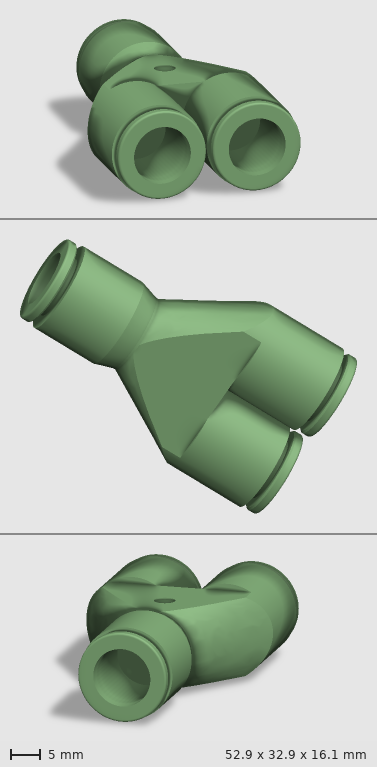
import cadquery as cq
import math


overall_length = 52.85
overall_width = 32.85
body_diameter = 16.1
body_radius = body_diameter / 2
branch_offset = overall_width / 2 - body_radius

flange_radius = 7.75
flange_thickness = 1.75
flange_rounding = 0.35
flange_back_chamfer = 0.3
collet_neck_radius = 5.6
collet_length = 2.95
bore_radius = 5.0
bore_depth = 14.85

inlet_body_end = 14.85
taper_end = 18.1
hub_start = 18.6
taper_end_radius = 7.0
neck_radius = 6.95

hub_end = 35.65
hub_start_radius = 6.9
hub_half_height = 6.85
miter_angle = 43.5
miter_length = body_radius * math.tan(math.radians(miter_angle))
branch_start = hub_end - miter_length

recess_x = 26.4
recess_radius = 1.85
recess_depth = 0.25


def cylinder_x(radius, x_start, x_end):
    """Cylinder along the X axis between two X positions."""
    return cq.Workplane("YZ", origin=(x_start, 0, 0)).circle(radius).extrude(x_end - x_start)


def collet():
    """Flange and neck of a collet whose port face lies at X = 0."""
    flange = cylinder_x(flange_radius, 0, flange_thickness)
    flange = flange.edges("<X").fillet(flange_rounding)
    flange = flange.edges(">X").chamfer(flange_back_chamfer)
    return flange.union(cylinder_x(collet_neck_radius, 0, collet_length))


def facing_plus_x(shape, y_offset):
    """Turn a shape built from the inlet face around to a branch port face."""
    return shape.mirror("YZ").translate((overall_length, y_offset, 0))


def inlet():
    """Inlet collet, cylindrical body, taper and the short neck behind it."""
    profile = [
        (collet_length, 0),
        (collet_length, body_radius),
        (inlet_body_end, body_radius),
        (taper_end, taper_end_radius),
        (hub_start, neck_radius),
        (hub_start, 0),
    ]
    body = cq.Workplane("XY").polyline(profile).close().revolve(360, (0, 0, 0), (1, 0, 0))
    return body.union(collet())


def branch():
    """Branch on the +Y side: mitered cylindrical body with its collet."""
    body = cylinder_x(body_radius, branch_start, overall_length - collet_length)
    body = body.translate((0, branch_offset, 0))
    miter_corner = [
        (branch_start, branch_offset),
        (hub_end, overall_width / 2),
        (branch_start, overall_width / 2),
    ]
    miter = cq.Workplane("XY").polyline(miter_corner).close().extrude(body_radius, both=True)
    return body.cut(miter).union(facing_plus_x(collet(), branch_offset))


def hub_side():
    """Loft on the +Y side from half a circle at the neck to the mitered branch section."""
    miter_half_axis = math.hypot(body_radius, miter_length)
    neck_plane = cq.Plane(origin=(hub_start, 0, 0), xDir=(0, 1, 0), normal=(1, 0, 0))
    miter_plane = cq.Plane(
        origin=(branch_start, branch_offset, 0),
        xDir=(miter_length, body_radius, 0),
        normal=(body_radius, -miter_length, 0),
    )

    def half_ellipse(plane, half_width, half_height):
        outline = cq.Workplane(plane).moveTo(0, -half_height)
        outline = outline.ellipseArc(
            half_width, half_height, angle1=-90, angle2=90, startAtCurrent=True
        )
        return outline.close().val()

    neck_section = half_ellipse(neck_plane, hub_start_radius, hub_start_radius)
    branch_section = half_ellipse(miter_plane, miter_half_axis, body_radius)
    return cq.Workplane(cq.Solid.makeLoft([neck_section, branch_section], True))


def hub_core():
    """Flat plate that fills the hub between its two lofted sides."""
    outline = [
        (hub_start, 0),
        (branch_start, branch_offset),
        (hub_end, branch_offset),
        (hub_end, -branch_offset),
        (branch_start, -branch_offset),
    ]
    return cq.Workplane("XY").polyline(outline).close().extrude(hub_half_height, both=True)


def hub_trim():
    """Blocks above and below the hub that leave its flat faces."""
    block = cq.Workplane("XY").box(
        hub_end - hub_start, overall_width, body_radius, centered=(False, True, False)
    )
    upper = block.translate((hub_start, 0, hub_half_height))
    return upper.union(upper.mirror("XY"))


def recess():
    """Shallow round recess cut into the top face of the hub."""
    floor = cq.Workplane("XY", origin=(recess_x, 0, hub_half_height - recess_depth))
    return floor.circle(recess_radius).extrude(recess_depth)


branch_half = branch().union(hub_side())
result = hub_core().union(branch_half).union(branch_half.mirror("XZ"))
result = result.cut(hub_trim()).union(inlet())

bore = cylinder_x(bore_radius, 0, bore_depth)
result = result.cut(bore)
for side in (-1, 1):
    result = result.cut(facing_plus_x(bore, side * branch_offset))
result = result.cut(recess())